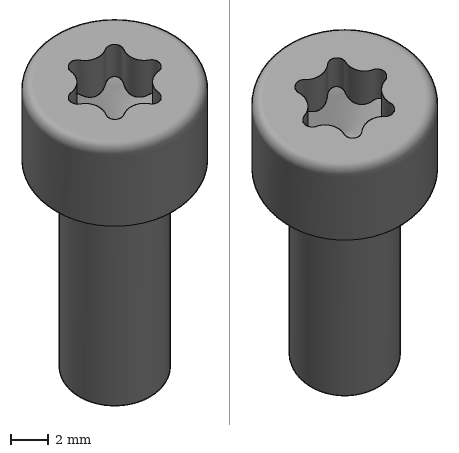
import cadquery as cq
import math

total_length = 22.0
head_diameter = 10.0
head_height = 6.0
head_edge_radius = 0.6
shank_diameter = 6.0

lobe_count = 6
lobe_tip_diameter = 5.6
valley_diameter = 4.07
lobe_radius = 0.5
socket_wall_depth = 2.49
floor_cone_angle = 120.0

lobe_tip_reach = lobe_tip_diameter / 2
valley_reach = valley_diameter / 2
shank_length = total_length - head_height
cone_height = lobe_tip_reach / math.tan(math.radians(floor_cone_angle / 2))


def polar(radius, angle):
    return (radius * math.cos(angle), radius * math.sin(angle))


def socket_outline(plane):
    """Six convex lobe arcs joined by tangent concave valley arcs, with lobes on the X axis."""
    half_pitch = math.pi / lobe_count
    lobe_center = lobe_tip_reach - lobe_radius
    valley_radius = (
        lobe_center**2 + valley_reach**2 - lobe_radius**2
        - 2 * lobe_center * valley_reach * math.cos(half_pitch)
    ) / (2 * (lobe_radius - valley_reach + lobe_center * math.cos(half_pitch)))
    valley_center = valley_reach + valley_radius

    share = lobe_radius / (lobe_radius + valley_radius)
    valley_x, valley_y = polar(valley_center, half_pitch)
    tangent_x = lobe_center + share * (valley_x - lobe_center)
    tangent_y = share * valley_y
    tangent_reach = math.hypot(tangent_x, tangent_y)
    tangent_angle = math.atan2(tangent_y, tangent_x)

    outline = plane.moveTo(*polar(tangent_reach, -tangent_angle))
    for index in range(lobe_count):
        lobe = index * 2 * half_pitch
        next_lobe = lobe + 2 * half_pitch
        outline = outline.threePointArc(
            polar(lobe_tip_reach, lobe), polar(tangent_reach, lobe + tangent_angle)
        )
        outline = outline.threePointArc(
            polar(valley_reach, lobe + half_pitch), polar(tangent_reach, next_lobe - tangent_angle)
        )
    return outline.close()


def make_screw_body():
    """Shank and cylindrical head, with the underside of the head at Z = 0."""
    shank = cq.Workplane("XY").circle(shank_diameter / 2).extrude(-shank_length)
    head = cq.Workplane("XY").circle(head_diameter / 2).extrude(head_height)
    head = head.faces(">Z").edges().fillet(head_edge_radius)
    return head.union(shank)


def make_socket():
    """Lobed prism ending in a conical floor."""
    socket_depth = socket_wall_depth + cone_height
    top_plane = cq.Workplane("XY", origin=(0, 0, head_height))
    prism = socket_outline(top_plane).extrude(-socket_depth)
    envelope = (
        cq.Workplane("XZ")
        .moveTo(0, head_height)
        .lineTo(head_diameter / 2, head_height)
        .lineTo(head_diameter / 2, head_height - socket_wall_depth)
        .lineTo(lobe_tip_reach, head_height - socket_wall_depth)
        .lineTo(0, head_height - socket_depth)
        .close()
        .revolve(360, (0, 0, 0), (0, 1, 0))
    )
    return prism.intersect(envelope)


result = make_screw_body().cut(make_socket())